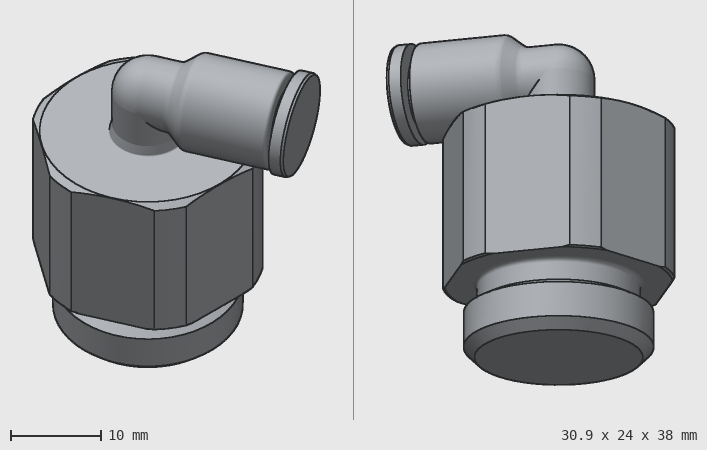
import cadquery as cq
import math

overall_height = 38

plug_radius = 10.53
plug_tip_chamfer = 1.2
plug_shoulder_z = 5.2
neck_radius = 9.05
neck_bottom_z = 6.0
neck_fillet = 0.5

hex_bottom_z = 8.55
hex_top_z = 26.6
hex_across_flats = 24.0
hex_corner_radius = 12.95
hex_top_face_radius = 11.97
hex_top_chamfer_height = 0.45
hex_bottom_face_radius = 12.65
hex_bottom_chamfer_height = 0.15

elbow_radius = 4.0
stem_flare_top_z = 27.8
stem_flare_radius = 4.25
stem_base_fillet = 0.2

sleeve_radius = 5.6
sleeve_axis_z = overall_height - sleeve_radius
shoulder_start_x = 3.42
shoulder_end_x = 5.4
shoulder_fillet = 1.0
sleeve_end_x = 15.6
sleeve_end_fillet = 0.35

collar_neck_radius = 3.7
collar_start_x = 16.3
collar_end_x = 17.97
collar_half_width = 6.45
collar_half_height = 5.5
collar_edge_chamfer_depth = 0.3
collar_edge_chamfer_inset = 0.15


def make_plug():
    """Turned plug with a neck that blends into the underside of the hexagon."""
    outline = (
        cq.Workplane("XZ")
        .lineTo(plug_radius - plug_tip_chamfer, 0)
        .lineTo(plug_radius, plug_tip_chamfer)
        .lineTo(plug_radius, plug_shoulder_z)
        .lineTo(neck_radius, neck_bottom_z)
        .lineTo(neck_radius, hex_bottom_z - neck_fillet)
        .radiusArc((neck_radius + neck_fillet, hex_bottom_z), neck_fillet)
        .lineTo(0, hex_bottom_z)
        .close()
    )
    return outline.revolve(360, (0, 0, 0), (0, 1, 0))


def make_hex_body():
    """Hexagon with two flats facing +Y and -Y, trimmed by a chamfered cylinder."""
    hexagon = (
        cq.Workplane("XY", origin=(0, 0, hex_bottom_z))
        .polygon(6, hex_across_flats / math.cos(math.pi / 6))
        .extrude(hex_top_z - hex_bottom_z)
    )
    turned_envelope = (
        cq.Workplane("XZ")
        .moveTo(0, hex_bottom_z)
        .lineTo(hex_bottom_face_radius, hex_bottom_z)
        .lineTo(hex_corner_radius, hex_bottom_z + hex_bottom_chamfer_height)
        .lineTo(hex_corner_radius, hex_top_z - hex_top_chamfer_height)
        .lineTo(hex_top_face_radius, hex_top_z)
        .lineTo(0, hex_top_z)
        .close()
        .revolve(360, (0, 0, 0), (0, 1, 0))
    )
    return hexagon.intersect(turned_envelope)


def make_stem():
    """Vertical stem, flared and filleted where it stands on the hexagon."""
    outline = (
        cq.Workplane("XZ")
        .moveTo(0, hex_top_z)
        .lineTo(stem_flare_radius + stem_base_fillet, hex_top_z)
        .radiusArc((stem_flare_radius, hex_top_z + stem_base_fillet), stem_base_fillet)
        .lineTo(elbow_radius, stem_flare_top_z)
        .lineTo(elbow_radius, sleeve_axis_z)
        .lineTo(0, sleeve_axis_z)
        .close()
    )
    return outline.revolve(360, (0, 0, 0), (0, 1, 0))


def make_elbow_ball():
    """Ball that rounds the outside of the bend."""
    return cq.Workplane("XY", origin=(0, 0, sleeve_axis_z)).sphere(elbow_radius)


def make_arm():
    """Horizontal arm that widens through a rounded cone into the sleeve."""
    arm = (
        cq.Workplane("XZ", origin=(0, 0, sleeve_axis_z))
        .lineTo(0, elbow_radius)
        .lineTo(shoulder_start_x, elbow_radius)
        .lineTo(shoulder_end_x, sleeve_radius)
        .lineTo(sleeve_end_x, sleeve_radius)
        .lineTo(sleeve_end_x, 0)
        .close()
        .revolve(360, (0, 0, 0), (1, 0, 0))
    )
    end_edges = arm.faces("<X or >X").edges().vals()
    shoulder_edges = [edge for edge in arm.edges("%CIRCLE").vals() if not any(map(edge.isSame, end_edges))]
    arm = arm.newObject(shoulder_edges).fillet(shoulder_fillet)
    return arm.faces(">X").edges().fillet(sleeve_end_fillet)


def make_collar():
    """Elliptical release collar and the neck that carries it."""
    neck = (
        cq.Workplane("YZ", origin=(sleeve_end_x, 0, sleeve_axis_z))
        .circle(collar_neck_radius)
        .extrude(collar_start_x - sleeve_end_x)
    )
    disc = (
        cq.Workplane("YZ", origin=(collar_start_x, 0, sleeve_axis_z))
        .ellipse(collar_half_width, collar_half_height)
        .extrude(collar_end_x - collar_start_x)
    )
    disc = disc.faces(">X").edges().chamfer(collar_edge_chamfer_depth, collar_edge_chamfer_inset)
    return neck.union(disc)


result = (
    make_plug()
    .union(make_hex_body())
    .union(make_stem())
    .union(make_elbow_ball())
    .union(make_arm())
    .union(make_collar())
)